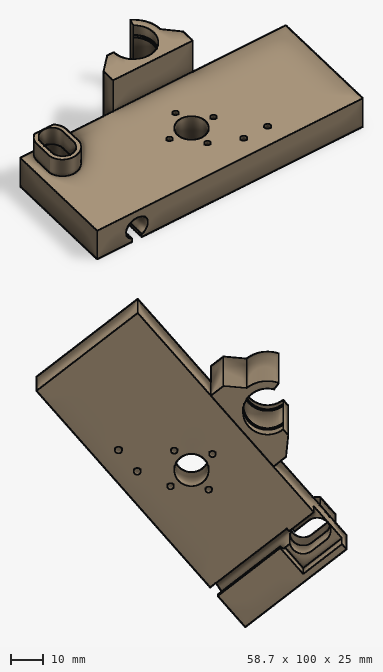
import cadquery as cq
import math

PLATE_X = 40.0
PLATE_Y = 100.0
PLATE_Z = 12.0

SHAFT_HOLE_D = 10.5
SHAFT_X = PLATE_X / 2
SHAFT_Y = PLATE_Y / 2
MOUNT_HOLE_D = 2.0
MOUNT_CIRCLE_D = 16.5
MOUNT_COUNT = 4

FIXING_HOLE_D = 2.2
FIXING_X = 33.0
FIXING_FIRST_Y = 60.2
FIXING_PITCH = 9.0
FIXING_COUNT = 2

CABLE_R = 4.1
OPENING_Y = 8.95
OPENING_START_X = 4.2
OPENING_END_X = 9.75

COLLAR_WALL = 1.47
COLLAR_R = CABLE_R + COLLAR_WALL
COLLAR_HEIGHT = 7.0
COLLAR_SHOULDER_X = 10.75
COLLAR_TIP_X = OPENING_END_X + COLLAR_R

POCKET_X = COLLAR_TIP_X
POCKET_HALF_WIDTH = 6.75
POCKET_DEPTH = 5.0

CHANNEL_Y = 15.0
CHANNEL_Z = POCKET_DEPTH
CHANNEL_MOUTH = 3.6

CLIP_HEIGHT = 25.0
CLIP_X = -10.0
CLIP_Y = PLATE_Y / 2
CLIP_BORE_R = 7.5
CLIP_OUTER_R = 10.0
CLIP_CHAMFER = 5.0
CLIP_HALF_WIDTH = CLIP_OUTER_R + CLIP_CHAMFER
FINGER_OUTER_ANGLE = 150.0
FINGER_INNER_ANGLE = 145.0

RIDGE_R = 7.3
RIDGE_HEIGHT = 1.0
RIDGE_INSET = 4.0


def cable_opening(bottom, height):
    """Oblong cutting block along X for the cable."""
    length = OPENING_END_X - OPENING_START_X + 2 * CABLE_R
    center_x = (OPENING_START_X + OPENING_END_X) / 2
    return (
        cq.Workplane("XY", origin=(center_x, OPENING_Y, bottom))
        .slot2D(length, 2 * CABLE_R)
        .extrude(height)
    )


def through_holes(points, diameter):
    """Cutting cylinders through the plate thickness."""
    return cq.Workplane("XY").pushPoints(points).circle(diameter / 2).extrude(PLATE_Z)


def make_plate():
    plate = cq.Workplane("XY").box(PLATE_X, PLATE_Y, PLATE_Z, centered=False)

    plate = plate.cut(through_holes([(SHAFT_X, SHAFT_Y)], SHAFT_HOLE_D))
    mount_points = []
    for index in range(MOUNT_COUNT):
        angle = 2 * math.pi * index / MOUNT_COUNT
        x = SHAFT_X + MOUNT_CIRCLE_D / 2 * math.cos(angle)
        y = SHAFT_Y + MOUNT_CIRCLE_D / 2 * math.sin(angle)
        mount_points.append((x, y))
    plate = plate.cut(through_holes(mount_points, MOUNT_HOLE_D))

    fixing_points = [(FIXING_X, FIXING_FIRST_Y + index * FIXING_PITCH) for index in range(FIXING_COUNT)]
    plate = plate.cut(through_holes(fixing_points, FIXING_HOLE_D))

    plate = plate.cut(cable_opening(0, PLATE_Z))
    pocket = cq.Workplane("XY").box(
        POCKET_X, 2 * POCKET_HALF_WIDTH, POCKET_DEPTH, centered=(False, True, False)
    )
    plate = plate.cut(pocket.translate((0, OPENING_Y, 0)))

    channel_length = PLATE_X - OPENING_END_X
    channel = (
        cq.Workplane("YZ", origin=(OPENING_END_X, CHANNEL_Y, CHANNEL_Z))
        .circle(CABLE_R)
        .extrude(channel_length)
    )
    mouth = cq.Workplane("XY").box(
        channel_length, CHANNEL_MOUTH, CHANNEL_Z, centered=(False, True, False)
    )
    return plate.cut(channel).cut(mouth.translate((OPENING_END_X, CHANNEL_Y, 0)))


def make_collar():
    ring = (
        cq.Workplane("XY", origin=(0, OPENING_Y, PLATE_Z))
        .moveTo(OPENING_START_X, -COLLAR_R)
        .lineTo(COLLAR_SHOULDER_X, -COLLAR_R)
        .threePointArc((COLLAR_TIP_X, 0), (COLLAR_SHOULDER_X, COLLAR_R))
        .lineTo(OPENING_START_X, COLLAR_R)
        .threePointArc((OPENING_START_X - COLLAR_R, 0), (OPENING_START_X, -COLLAR_R))
        .close()
        .extrude(COLLAR_HEIGHT)
        .cut(cable_opening(PLATE_Z, COLLAR_HEIGHT))
    )
    trim = cq.Workplane("XY").box(PLATE_X, PLATE_Y, PLATE_Z + COLLAR_HEIGHT, centered=False)
    return ring.intersect(trim)


def clip_point(radius, angle):
    """Point at an angle in degrees on a circle around the bore axis."""
    turn = math.radians(angle)
    return (CLIP_X + radius * math.cos(turn), CLIP_Y + radius * math.sin(turn))


def clip_bore(radius, bottom, height):
    """Cylinder on the bore axis that cuts one stretch of the clip's bore."""
    return cq.Workplane("XY", origin=(CLIP_X, CLIP_Y, bottom)).circle(radius).extrude(height)


def make_clip():
    outer_tip = clip_point(CLIP_OUTER_R, FINGER_OUTER_ANGLE)
    inner_tip = clip_point(CLIP_BORE_R, FINGER_INNER_ANGLE)
    past_tip = (2 * inner_tip[0] - outer_tip[0], 2 * inner_tip[1] - outer_tip[1])
    finger_middle = clip_point(CLIP_OUTER_R, (FINGER_OUTER_ANGLE + 90) / 2)

    clip = (
        cq.Workplane("XY")
        .moveTo(0, CLIP_Y - CLIP_HALF_WIDTH)
        .lineTo(0, CLIP_Y + CLIP_HALF_WIDTH)
        .lineTo(CLIP_X + CLIP_CHAMFER, CLIP_Y + CLIP_HALF_WIDTH)
        .lineTo(CLIP_X, CLIP_Y + CLIP_OUTER_R)
        .threePointArc(finger_middle, outer_tip)
        .lineTo(*past_tip)
        .lineTo(CLIP_X, CLIP_Y)
        .lineTo(CLIP_X, CLIP_Y - CLIP_OUTER_R)
        .lineTo(CLIP_X + CLIP_CHAMFER, CLIP_Y - CLIP_HALF_WIDTH)
        .close()
        .extrude(CLIP_HEIGHT)
    )

    middle_z = RIDGE_INSET + RIDGE_HEIGHT
    clip = clip.cut(clip_bore(RIDGE_R, 0, CLIP_HEIGHT))
    clip = clip.cut(clip_bore(CLIP_BORE_R, 0, RIDGE_INSET))
    clip = clip.cut(clip_bore(CLIP_BORE_R, middle_z, CLIP_HEIGHT - 2 * middle_z))
    return clip.cut(clip_bore(CLIP_BORE_R, CLIP_HEIGHT - RIDGE_INSET, RIDGE_INSET))


plate = make_plate()
collar = make_collar()
clip = make_clip()

result = cq.Compound.makeCompound([plate.val(), collar.val(), clip.val()])